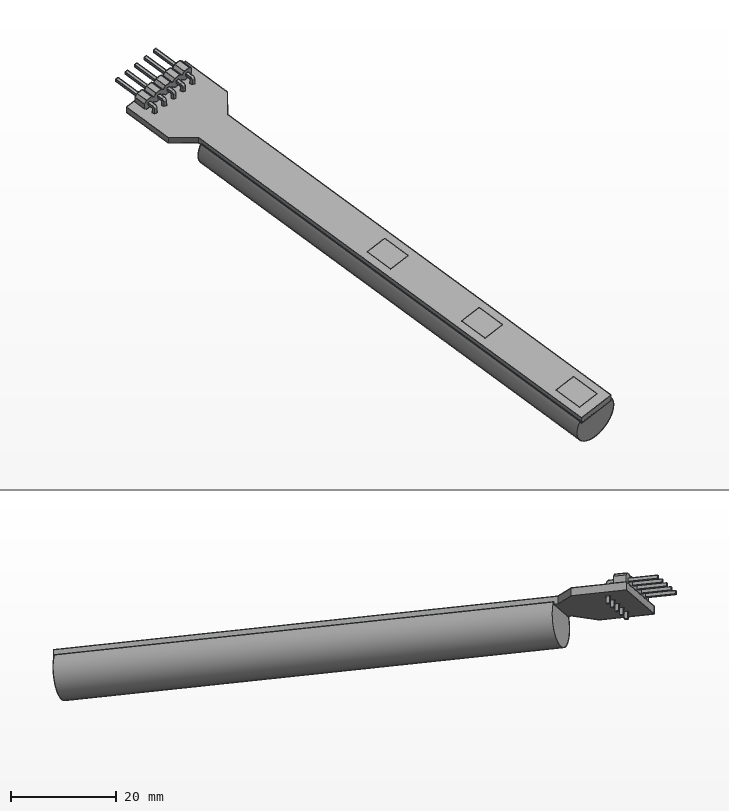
import cadquery as cq


total_length = 121.4
total_height = 11.3
board_start = 5.3
board_thickness = 1.6
head_width = 16.0
head_length = 11.0
strip_width = 8.0
taper = (head_width - strip_width) / 2

pitch = 2.5
pin_count = 5
segment_chamfer = 0.6
header_start = 6.0
header_length = 2.5
pin_size = 0.64
pin_height = pitch / 2
pin_bend = 10.0
pin_bend_radius = 0.6
pin_bottom = -2.9
pin_hole_diameter = 1.02
pin_rows = [(row - (pin_count - 1) / 2) * pitch for row in range(pin_count)]

diffuser_length = 99.9
diffuser_end_gap = 0.2
diffuser_start = total_length - diffuser_end_gap - diffuser_length
diffuser_radius = 5.0
diffuser_top = -1.1
diffuser_bottom = pitch - total_height
diffuser_axis = diffuser_bottom + diffuser_radius

led_length = 6.2
led_width = 4.7
led_pitch = 24.9
led_count = 3
last_led_center = 116.2
led_centers = [last_led_center - number * led_pitch for number in range(led_count)]


def make_led(center):
    """Rectangular block that fills its window in the board, flush with both faces."""
    return (
        cq.Workplane("XY")
        .center(center, 0)
        .rect(led_length, led_width)
        .extrude(-board_thickness)
    )


def make_board_blank():
    """Wide connector head that tapers down to the long strip."""
    head_end = board_start + head_length
    return (
        cq.Workplane("XY")
        .moveTo(board_start, 0)
        .lineTo(board_start, head_width / 2)
        .lineTo(head_end, head_width / 2)
        .lineTo(head_end + taper, strip_width / 2)
        .lineTo(total_length, strip_width / 2)
        .lineTo(total_length, 0)
        .mirrorX()
        .extrude(-board_thickness)
    )


def make_board():
    """Board with a round hole for each pin and a window for each LED."""
    pin_holes = (
        cq.Workplane("XY")
        .pushPoints([(pin_bend, row) for row in pin_rows])
        .circle(pin_hole_diameter / 2)
        .extrude(-board_thickness)
    )
    board = make_board_blank().cut(pin_holes)
    for center in led_centers:
        board = board.cut(make_led(center))
    return board


def make_diffuser():
    """Round bar with a flat top and a shallow groove that holds the board."""
    bar = (
        cq.Workplane("YZ", origin=(diffuser_start, 0, 0))
        .center(0, diffuser_axis)
        .circle(diffuser_radius)
        .extrude(diffuser_length)
    )
    above_flat = (
        cq.Workplane("XY", origin=(0, 0, diffuser_top))
        .center(total_length / 2, 0)
        .rect(total_length, 2 * diffuser_radius)
        .extrude(diffuser_radius)
    )
    return bar.cut(above_flat).cut(make_board_blank())


def make_header_segment(row):
    """Octagonal piece of the header's plastic block around one pin."""
    return (
        cq.Workplane("XY")
        .box(header_length, pitch, pitch, centered=(False, True, False))
        .edges("|X")
        .chamfer(segment_chamfer)
        .translate((header_start, row, 0))
    )


def make_pin(row):
    """Square wire that runs along X, bends and goes down through the board."""
    outer_x = pin_bend + pin_size / 2
    inner_x = pin_bend - pin_size / 2
    upper_z = pin_height + pin_size / 2
    lower_z = pin_height - pin_size / 2
    return (
        cq.Workplane("XZ", origin=(0, row + pin_size / 2, 0))
        .moveTo(0, lower_z)
        .lineTo(0, upper_z)
        .lineTo(outer_x - pin_bend_radius, upper_z)
        .radiusArc((outer_x, upper_z - pin_bend_radius), pin_bend_radius)
        .lineTo(outer_x, pin_bottom)
        .lineTo(inner_x, pin_bottom)
        .lineTo(inner_x, lower_z)
        .close()
        .extrude(pin_size)
    )


def make_header():
    """Row of joined segments with their pins, as one solid standing on the board."""
    header = make_header_segment(pin_rows[0])
    for row in pin_rows[1:]:
        header = header.union(make_header_segment(row))
    for row in pin_rows:
        header = header.union(make_pin(row))
    return header


board = make_board()
diffuser = make_diffuser()
header = make_header()
leds = [make_led(center) for center in led_centers]

result = cq.Compound.makeCompound(
    [board.val(), diffuser.val(), header.val(), *[led.val() for led in leds]]
)